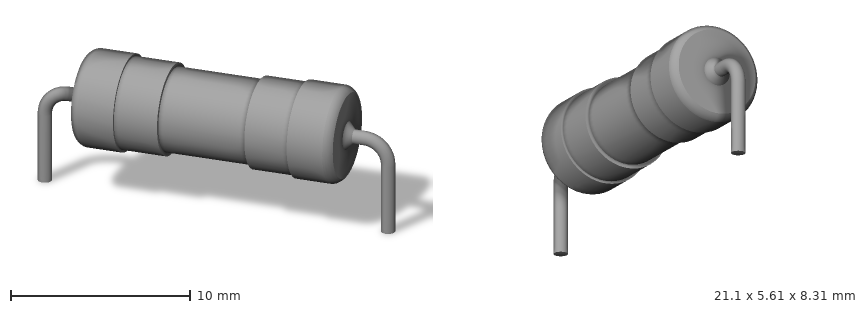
import cadquery as cq


lead_diameter = 0.81
lead_radius = lead_diameter / 2
lead_pitch = 20.32
bend_radius = 1.38

flare_radius = lead_diameter
flare_length = lead_radius

body_length = 15.5
core_length = body_length / 3
cap_length = 2.61
collar_length = (body_length - core_length) / 2 - cap_length
core_radius = 4.86 / 2
collar_radius = 5.31 / 2
cap_radius = 5.61 / 2

overall_height = 8.31
lead_drop = overall_height - cap_radius

cap_face_radius = 4.91 / 2
cap_rim_length = 0.5
cap_rim_bulge = 0.05


def ring(radius, start, length):
    """Cylinder along X from start, bored for the lead wire."""
    return (
        cq.Workplane("YZ")
        .workplane(offset=start)
        .circle(radius)
        .circle(lead_radius)
        .extrude(length)
    )


def end_cap(side):
    """Bored end cap on one side (-1 or +1) with a rounded outer rim."""
    face_x = side * body_length / 2
    rim_x = face_x - side * cap_rim_length
    inner_x = side * (body_length / 2 - cap_length)
    rim_middle = (
        (face_x + rim_x) / 2 + side * cap_rim_bulge,
        (cap_face_radius + cap_radius) / 2 + cap_rim_bulge,
    )
    return (
        cq.Workplane("XZ")
        .moveTo(inner_x, lead_radius)
        .lineTo(inner_x, cap_radius)
        .lineTo(rim_x, cap_radius)
        .threePointArc(rim_middle, (face_x, cap_face_radius))
        .lineTo(face_x, lead_radius)
        .close()
        .revolve(360, (0, 0, 0), (1, 0, 0))
    )


def flare(side):
    """Cone on the wire that widens onto the cap face on one side (-1 or +1)."""
    face_x = side * body_length / 2
    tip_x = face_x + side * flare_length
    return (
        cq.Workplane("XZ")
        .moveTo(face_x, 0)
        .lineTo(face_x, flare_radius)
        .lineTo(tip_x, lead_radius)
        .lineTo(tip_x, 0)
        .close()
        .revolve(360, (0, 0, 0), (1, 0, 0))
    )


def lead_wire():
    """One wire that runs through the body, turns down at both ends and carries both flares."""
    leg_x = lead_pitch / 2
    bend_x = leg_x - bend_radius
    wire_path = (
        cq.Workplane("XZ")
        .moveTo(-leg_x, -lead_drop)
        .lineTo(-leg_x, -bend_radius)
        .radiusArc((-bend_x, 0), bend_radius)
        .lineTo(bend_x, 0)
        .radiusArc((leg_x, -bend_radius), bend_radius)
        .lineTo(leg_x, -lead_drop)
    )
    wire = (
        cq.Workplane("XY", origin=(-leg_x, 0, -lead_drop))
        .circle(lead_radius)
        .sweep(wire_path)
    )
    for side in (-1, 1):
        wire = wire.union(flare(side))
    return wire


lead = lead_wire()
core = ring(core_radius, -core_length / 2, core_length)
collars = [
    ring(collar_radius, start, collar_length)
    for start in (-core_length / 2 - collar_length, core_length / 2)
]
caps = [end_cap(side) for side in (-1, 1)]

result = cq.Compound.makeCompound(
    [
        lead.val(),
        core.val(),
        *[collar.val() for collar in collars],
        *[cap.val() for cap in caps],
    ]
)